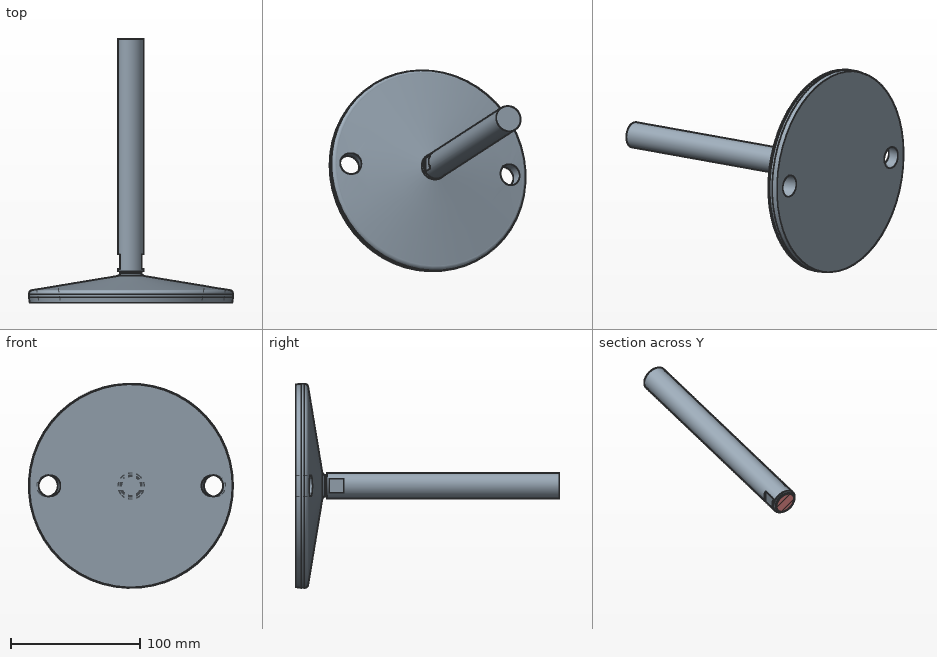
import cadquery as cq
import math

total_length = 204
foot_diameter = 158.0

groove_bottom = 4.3
groove_top = 6.7
groove_diameter = 157.9
shoulder_height = 10.0
cone_top = 20.8
lip_groove_height = 22.5
lip_bottom = 22.8
boss_top = 23.3

foot_radius = foot_diameter / 2
floor_radius = foot_radius - 0.6
groove_radius = groove_diameter / 2
shoulder_radius = foot_radius - 3.3
cone_top_radius = 10.2
boss_radius = 8.5
lip_groove_radius = 8.0

hole_diameter = 16.5
hole_offset = 62.8
cone_slope = math.atan2(cone_top - shoulder_height, shoulder_radius - cone_top_radius)

stem_diameter = 20.0
stem_bottom = 24.3
neck_radius = 7.3
flat_bottom = 26.1
flat_top = 37.3
across_flats = 17.0


def revolve_about_y(profile):
    """Turn a closed radius / height profile a full turn about the Y axis."""
    return profile.close().revolve(360, (0, 0, 0), (0, 1, 0))


def fixing_hole(side):
    """Cutter for one hole, leaning outward to the given side (-1 or +1)."""
    axis = cq.Vector(side * math.sin(cone_slope), math.cos(cone_slope), 0)
    entry = cq.Vector(side * hole_offset, 0, 0)
    overrun = boss_top
    start = entry - axis * overrun
    return cq.Solid.makeCylinder(hole_diameter / 2, 3 * overrun, start, axis)


def make_foot():
    """Conical foot with a shallow rim groove, a grooved central boss and two leaning holes."""
    rim_height = shoulder_height - groove_top
    rim_width = foot_radius - shoulder_radius
    arc_middle = (
        shoulder_radius + rim_width * math.sin(math.pi / 4),
        groove_top + rim_height * math.sin(math.pi / 4),
    )
    profile = (
        cq.Workplane("XY")
        .moveTo(0, 0)
        .lineTo(floor_radius, 0)
        .lineTo(foot_radius, groove_bottom)
        .lineTo(groove_radius, groove_bottom)
        .lineTo(groove_radius, groove_top)
        .lineTo(foot_radius, groove_top)
        .threePointArc(arc_middle, (shoulder_radius, shoulder_height))
        .lineTo(cone_top_radius, cone_top)
        .lineTo(lip_groove_radius, lip_groove_height)
        .lineTo(boss_radius, lip_bottom)
        .lineTo(boss_radius, boss_top)
        .lineTo(0, boss_top)
    )
    body = revolve_about_y(profile)
    for side in (-1, 1):
        body = body.cut(cq.Workplane(fixing_hole(side)))
    return body


def make_stem():
    """Round stem with a neck standing on the boss and two wrench flats."""
    stem_radius = stem_diameter / 2
    profile = (
        cq.Workplane("XY")
        .moveTo(0, boss_top)
        .lineTo(neck_radius, boss_top)
        .lineTo(neck_radius, stem_bottom)
        .lineTo(stem_radius, stem_bottom)
        .lineTo(stem_radius, total_length)
        .lineTo(0, total_length)
    )
    body = revolve_about_y(profile)
    flat_length = flat_top - flat_bottom
    for side in (-1, 1):
        cutter = cq.Workplane("XY").box(stem_diameter, flat_length, stem_diameter).translate(
            (side * (across_flats + stem_diameter) / 2, flat_bottom + flat_length / 2, 0)
        )
        body = body.cut(cutter)
    return body


foot = make_foot()
stem = make_stem()

result = cq.Compound.makeCompound([foot.val(), stem.val()])